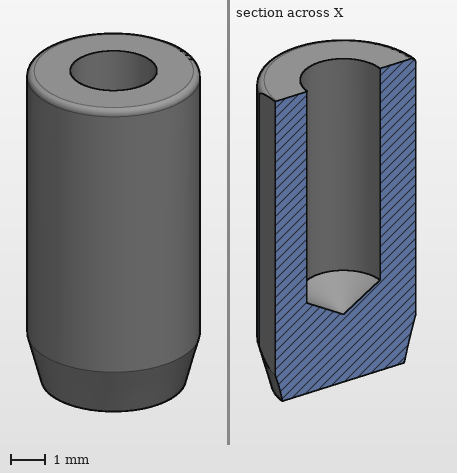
import cadquery as cq
import math

body_diameter = 5.0
body_height = 10.0
top_edge_radius = 0.2

taper_height = 1.5
taper_angle = 15.0

flat_distance = 2.35

bore_diameter = 2.5
bore_depth = 7.0
drill_point_angle = 118.0

body_radius = body_diameter / 2
bore_radius = bore_diameter / 2
tip_radius = body_radius - taper_height * math.tan(math.radians(taper_angle))
drill_point_height = bore_radius / math.tan(math.radians(drill_point_angle / 2))


def make_body():
    """Cylinder with a tapered lower end and a rounded top edge."""
    profile = (
        cq.Workplane("XZ")
        .lineTo(tip_radius, 0)
        .lineTo(body_radius, taper_height)
        .lineTo(body_radius, body_height)
        .lineTo(0, body_height)
        .close()
    )
    body = profile.revolve(360, (0, 0, 0), (0, 1, 0))
    return body.faces(">Z").edges().fillet(top_edge_radius)


def make_bore():
    """Solid of the bore: a cylinder ending in a cone."""
    bore_floor = body_height - bore_depth
    profile = (
        cq.Workplane("XZ")
        .moveTo(0, bore_floor - drill_point_height)
        .lineTo(bore_radius, bore_floor)
        .lineTo(bore_radius, body_height)
        .lineTo(0, body_height)
        .close()
    )
    return profile.revolve(360, (0, 0, 0), (0, 1, 0))


def make_flat_cutter():
    """Block that removes everything beyond the flat."""
    block = cq.Workplane("XY").box(
        body_diameter, body_radius, body_height, centered=(True, False, False)
    )
    return block.translate((0, flat_distance, 0))


result = make_body().cut(make_bore()).cut(make_flat_cutter())